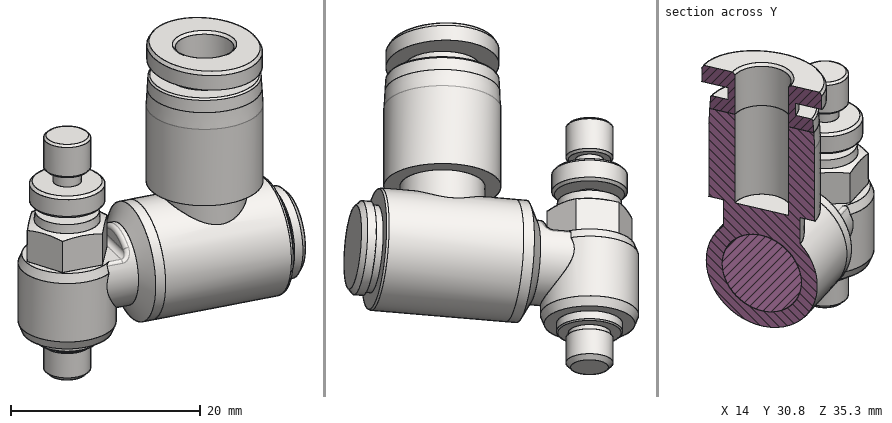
import cadquery as cq
import math


ring_radius = 5.2
ring_top = 2.35
ring_bottom = -6.5
ring_chamfer_height = 1.0
ring_chamfer_width = 0.4
arm_radius = 4.5
cone_start_y = 6.25
cone_end_y = 7.35
spindle_radius = 4.65
snap_head_radius = 5.0
snap_head_start_y = 24.1
spindle_end_y = 25.6
snap_head_chamfer = 0.55
hex_clearance_y = 5.25
clearance_inner_fillet = 0.6
clearance_edge_fillet = 0.5
match_tolerance = 0.001

elbow_radius = 6.5
barrel_y = 15.9
elbow_half_length = 7.4
elbow_front_y = barrel_y - elbow_half_length
elbow_rear_y = barrel_y + elbow_half_length
elbow_chamfer_length = 0.25
elbow_chamfer_width = 0.1
barrel_neck_radius = 4.5
barrel_radius = 6.2
barrel_bottom = 7.85
taper_start = 16.8
barrel_top = 18.7

bush_collar_top = 20.3
bush_collar_radius = 6.0
bush_collar_chamfer = 0.2
bush_neck_radius = 3.95
flange_bottom = 21.7
flange_top = 23.8
flange_radius_x = 7.0
flange_radius_y = 5.93
flange_chamfer_height = 0.4
flange_chamfer_width = 0.25
tube_bore_radius = 3.1
tube_bore_chamfer = 0.3

thread_radius = 2.5
thread_bottom = -11.5
thread_chamfer = 0.5
relief_radius = 2.25
relief_bottom = -8.15
collar_radius = 3.5
collar_bottom = -7.55
collar_top = 7.4
collar_top_radius = 3.4
collar_chamfer = 0.15
hex_across_flats = 8.0
hex_top = 6.4
hex_chamfer_angle = 20.0
needle_radius = 1.5
lock_nut_radius = 4.0
lock_nut_bottom = 8.35
lock_nut_top = 10.9
lock_nut_chamfer = 0.3
knob_radius = 2.5
knob_bottom = 12.35
knob_top = 16.25
knob_chamfer = 0.25

taper_end = bush_collar_top - bush_collar_chamfer
taper_slope = (barrel_radius - bush_collar_radius) / (taper_end - taper_start)
barrel_top_radius = barrel_radius - taper_slope * (barrel_top - taper_start)


def turned_on_z(profile, y=0):
    """Revolve a (radius, z) outline about the vertical axis at the given y."""
    return cq.Workplane("XZ", origin=(0, y, 0)).polyline(profile).close().revolve(360, (0, 0), (0, 1))


def turned_on_y(profile):
    """Revolve a (radius, y) outline about the Y axis."""
    return cq.Workplane("XY").polyline(profile).close().revolve(360, (0, 0), (0, 1))


def cylinder(radius, bottom, top, y=0):
    """Upright cylinder between two heights."""
    return cq.Workplane("XY", origin=(0, y, bottom)).circle(radius).extrude(top - bottom)


def make_arm():
    """Arm from the stem axis to the snap head, with a clearance step beside the hex."""
    arm = turned_on_y([
        (0, 0),
        (arm_radius, 0),
        (arm_radius, cone_start_y),
        (elbow_radius, cone_end_y),
        (elbow_radius, elbow_front_y),
        (spindle_radius, elbow_front_y),
        (spindle_radius, snap_head_start_y),
        (snap_head_radius, snap_head_start_y),
        (snap_head_radius, spindle_end_y - snap_head_chamfer),
        (snap_head_radius - snap_head_chamfer, spindle_end_y),
        (0, spindle_end_y),
    ])
    clearance = (
        cq.Workplane("XY", origin=(0, 0, ring_top))
        .rect(2 * elbow_radius, 2 * hex_clearance_y)
        .extrude(elbow_radius)
        .edges(">Y and <Z")
        .fillet(clearance_inner_fillet)
    )
    stepped = arm.cut(clearance)
    rim = [edge for edge in stepped.edges().vals() if is_clearance_rim(edge)]
    return stepped.newObject(rim).fillet(clearance_edge_fillet)


def is_clearance_rim(edge):
    """True for an edge where the clearance step meets the arm's round surface."""
    middle = edge.positionAt(0.5)
    on_arm_surface = abs(math.hypot(middle.x, middle.z) - arm_radius) < match_tolerance
    beside_step = 0 < middle.y < hex_clearance_y + match_tolerance
    above_floor = middle.z > ring_top - match_tolerance
    return on_arm_surface and beside_step and above_floor


def make_banjo():
    chamfered_radius = ring_radius - ring_chamfer_width
    ring = turned_on_z([
        (0, ring_bottom),
        (chamfered_radius, ring_bottom),
        (ring_radius, ring_bottom + ring_chamfer_height),
        (ring_radius, ring_top - ring_chamfer_height),
        (chamfered_radius, ring_top),
        (0, ring_top),
    ])
    stem_bore = cylinder(collar_radius, ring_bottom, ring_top)
    return ring.union(make_arm()).cut(stem_bore)


def make_elbow():
    run = turned_on_y([
        (0, elbow_front_y),
        (elbow_radius, elbow_front_y),
        (elbow_radius, elbow_rear_y - elbow_chamfer_length),
        (elbow_radius - elbow_chamfer_width, elbow_rear_y),
        (0, elbow_rear_y),
    ])
    barrel = turned_on_z([
        (0, 0),
        (barrel_neck_radius, 0),
        (barrel_neck_radius, barrel_bottom),
        (barrel_radius, barrel_bottom),
        (barrel_radius, taper_start),
        (barrel_top_radius, barrel_top),
        (0, barrel_top),
    ], barrel_y)
    spindle_bore = turned_on_y([
        (0, elbow_front_y),
        (spindle_radius, elbow_front_y),
        (spindle_radius, elbow_rear_y),
        (0, elbow_rear_y),
    ])
    tube_bore = cylinder(tube_bore_radius, barrel_bottom, barrel_top, barrel_y)
    return run.union(barrel).cut(spindle_bore).cut(tube_bore)


def make_bush():
    base = turned_on_z([
        (0, barrel_top),
        (barrel_top_radius, barrel_top),
        (bush_collar_radius, taper_end),
        (bush_collar_radius - bush_collar_chamfer, bush_collar_top),
        (bush_neck_radius, bush_collar_top),
        (bush_neck_radius, flange_bottom),
        (0, flange_bottom),
    ], barrel_y)
    flange = (
        cq.Workplane("XY", origin=(0, barrel_y, flange_bottom))
        .ellipse(flange_radius_x, flange_radius_y)
        .extrude(flange_top - flange_bottom)
        .faces(">Z")
        .chamfer(flange_chamfer_height, flange_chamfer_width)
    )
    bore = turned_on_z([
        (0, barrel_top),
        (tube_bore_radius, barrel_top),
        (tube_bore_radius, flange_top - tube_bore_chamfer),
        (tube_bore_radius + tube_bore_chamfer, flange_top),
        (0, flange_top),
    ], barrel_y)
    return base.union(flange).cut(bore)


def make_hex():
    """Hexagon with corners on the Y axis, its top sloping down from the collar as a shallow cone."""
    corner_radius = hex_across_flats / math.sqrt(3)
    prism = (
        cq.Workplane("XY", origin=(0, 0, ring_top))
        .polygon(6, 2 * corner_radius)
        .extrude(hex_top - ring_top)
        .rotate((0, 0, 0), (0, 0, 1), 90)
    )
    corner_drop = (corner_radius - collar_radius) * math.tan(math.radians(hex_chamfer_angle))
    chamfer_envelope = turned_on_z([
        (0, ring_top),
        (corner_radius, ring_top),
        (corner_radius, hex_top - corner_drop),
        (collar_radius, hex_top),
        (0, hex_top),
    ])
    return prism.intersect(chamfer_envelope)


def make_stem():
    """Threaded stem, hexagon, needle, lock nut and knob on one axis."""
    shaft = turned_on_z([
        (0, thread_bottom),
        (thread_radius - thread_chamfer, thread_bottom),
        (thread_radius, thread_bottom + thread_chamfer),
        (thread_radius, relief_bottom),
        (relief_radius, relief_bottom),
        (relief_radius, collar_bottom),
        (collar_radius - collar_chamfer, collar_bottom),
        (collar_radius, collar_bottom + collar_chamfer),
        (collar_radius, hex_top),
        (collar_top_radius, collar_top),
        (needle_radius, collar_top),
        (needle_radius, knob_bottom),
        (0, knob_bottom),
    ])
    lock_nut = cylinder(lock_nut_radius, lock_nut_bottom, lock_nut_top).edges().chamfer(lock_nut_chamfer)
    knob = cylinder(knob_radius, knob_bottom, knob_top).edges().chamfer(knob_chamfer)
    return shaft.union(make_hex()).union(lock_nut).union(knob)


banjo = make_banjo()
elbow = make_elbow()
release_bush = make_bush()
stem = make_stem()

result = cq.Compound.makeCompound([banjo.val(), elbow.val(), release_bush.val(), stem.val()])